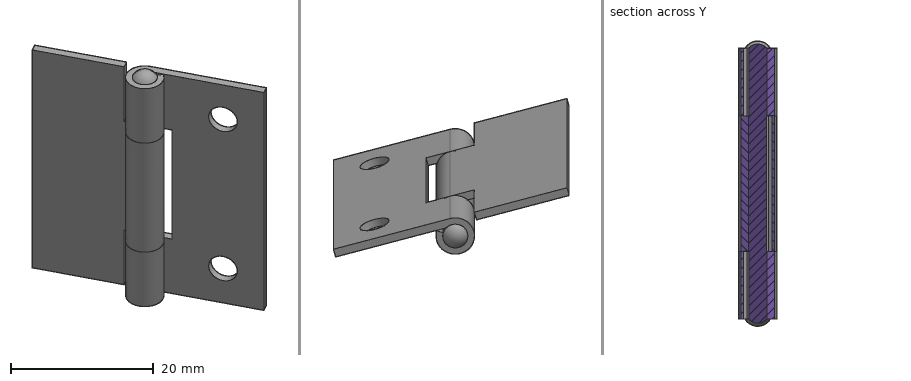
import cadquery as cq
import math

hinge_width = 34.0
hinge_height = 40.0
leaf_height = 38.0
leaf_thickness = 1.2
knuckle_diameter = 5.4
pin_diameter = 3.5
knuckle_clearance = 0.8
curl_end_angle = 32.0
hole_diameter = 4.2
hole_x = 11.0
hole_spacing = 26.0

knuckle_radius = knuckle_diameter / 2
pin_radius = pin_diameter / 2
leaf_back = knuckle_radius
leaf_front = leaf_back - leaf_thickness
leaf_outer_edge = hinge_width / 2
notch_edge = knuckle_radius + knuckle_clearance
middle_knuckle_length = leaf_height / 2
end_knuckle_length = (leaf_height - middle_knuckle_length) / 2
dome_height = (hinge_height - leaf_height) / 2


def polar(radius, angle):
    """Point at an angle in degrees around the hinge axis."""
    return (radius * math.cos(math.radians(angle)), radius * math.sin(math.radians(angle)))


def make_plate():
    """Flat part of a leaf on the +X side, outside the notches."""
    return cq.Workplane("XY").box(
        leaf_outer_edge - notch_edge, leaf_thickness, leaf_height, centered=(False, False, True)
    ).translate((notch_edge, leaf_front, 0))


def make_knuckle(bottom, length):
    """Strip that runs in from the plate and rolls around the pin."""
    bore_meets_front = math.sqrt(pin_radius**2 - leaf_front**2)
    far_side_angle = 225
    return (
        cq.Workplane("XY", origin=(0, 0, bottom))
        .moveTo(notch_edge, leaf_back)
        .lineTo(0, leaf_back)
        .threePointArc(polar(knuckle_radius, far_side_angle), polar(knuckle_radius, curl_end_angle))
        .lineTo(*polar(pin_radius, curl_end_angle))
        .threePointArc(polar(pin_radius, far_side_angle), (bore_meets_front, leaf_front))
        .lineTo(notch_edge, leaf_front)
        .close()
        .extrude(length)
    )


def make_drilled_leaf():
    """Leaf on the +X side with two end knuckles and two screw holes."""
    leaf = make_plate()
    for bottom in (-leaf_height / 2, middle_knuckle_length / 2):
        leaf = leaf.union(make_knuckle(bottom, end_knuckle_length))
    holes = (
        cq.Workplane("XZ", origin=(0, leaf_back, 0))
        .pushPoints([(hole_x, -hole_spacing / 2), (hole_x, hole_spacing / 2)])
        .circle(hole_diameter / 2)
        .extrude(leaf_thickness)
    )
    return leaf.cut(holes)


def make_plain_leaf():
    """Leaf on the -X side with one middle knuckle and no holes."""
    knuckle = make_knuckle(-middle_knuckle_length / 2, middle_knuckle_length)
    return make_plate().union(knuckle).mirror("YZ")


def make_pin():
    """Pin with a shallow spherical dome on each end."""
    dome_radius = (pin_radius**2 + dome_height**2) / (2 * dome_height)
    top = hinge_height / 2
    shoulder = leaf_height / 2
    half_arc_x = pin_radius / 2
    half_arc_z = top - dome_radius + math.sqrt(dome_radius**2 - half_arc_x**2)
    return (
        cq.Workplane("XZ")
        .moveTo(0, -top)
        .threePointArc((half_arc_x, -half_arc_z), (pin_radius, -shoulder))
        .lineTo(pin_radius, shoulder)
        .threePointArc((half_arc_x, half_arc_z), (0, top))
        .close()
        .revolve(360, (0, 0, 0), (0, 1, 0))
    )


drilled_leaf = make_drilled_leaf()
plain_leaf = make_plain_leaf()
pin = make_pin()

result = cq.Compound.makeCompound([drilled_leaf.val(), plain_leaf.val(), pin.val()])